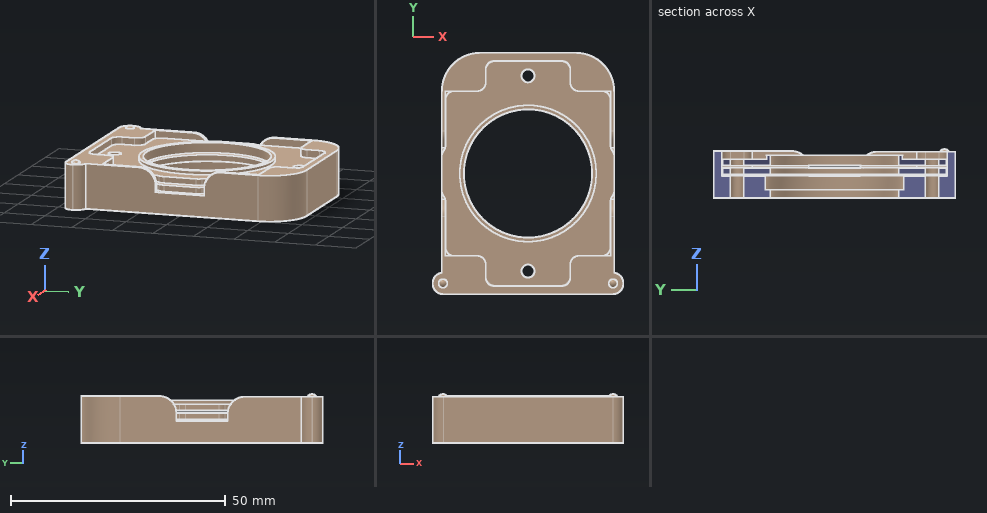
import cadquery as cq
length = 56.45
body_half_width = 20.15
front_height = 10.85
back_height = 11.0
back_corner_radius = 9.0
half_length = length / 2

bar_length = 44.6
bar_depth = 5.1
bar_corner_radius = 2.5
bar_middle_y = bar_depth / 2 - half_length
bump_x = 19.85
bump_base_radius = 1.0
bump_height = 0.6

pocket_half_width = 19.35
pocket_half_length = 19.25
arm_half_width = 9.9
pocket_arm_end = 26.3
corner_radius = 2.0
pocket_floor = 5.2

window_half_width = 6.0
window_flare_radius = 4.0

plate_clearance = 0.1
plate_half_width = pocket_half_width - plate_clearance
plate_thickness = 1.5
lower_plate_bottom = 5.55
plate_gap = 0.5
upper_plate_bottom = lower_plate_bottom + plate_thickness + plate_gap
upper_plate_top = upper_plate_bottom + plate_thickness
tab_tip_half_width = 3.95
tab_bend_half_width = 5.3

bore_diameter = 29.9
collar_diameter = 31.9
collar_height = 0.9
housing_bore_lip = 2.0
housing_counterbore_diameter = 32.4
screw_hole_diameter = 3.0
screw_hole_y = 22.8
screw_hole_points = [(0, screw_hole_y), (0, -screw_hole_y)]


def cross_prism(half_width, half_length_main, arm_half, arm_end, bottom, height, main_corner_radius=0):
    """Rectangle with a rounded arm at its front and back ends."""
    main = cq.Workplane("XY").rect(2 * half_width, 2 * half_length_main).extrude(height)
    if main_corner_radius > 0:
        main = main.edges("|Z").fillet(main_corner_radius)
    arms = cq.Workplane("XY").rect(2 * arm_half, 2 * arm_end).extrude(height)
    arms = arms.edges("|Z").fillet(corner_radius)
    root_edges = cq.selectors.BoxSelector(
        (-arm_half - 0.55, -half_length_main - 0.55, -0.55),
        (arm_half + 0.55, half_length_main + 0.55, height + 0.55),
    )
    cross = main.union(arms).edges("|Z").edges(root_edges).fillet(corner_radius)
    return cross.translate((0, 0, bottom))


def make_housing():
    slab_length = half_length - bar_middle_y
    slab = (
        cq.Workplane("XY")
        .center(0, bar_middle_y + slab_length / 2)
        .rect(2 * body_half_width, slab_length)
        .extrude(back_height)
    )
    slab = slab.edges("|Z and >Y").fillet(back_corner_radius)

    step = (
        cq.Workplane("XY", origin=(0, 0, front_height))
        .center(0, -half_length / 2)
        .rect(2 * body_half_width, half_length)
        .extrude(back_height - front_height)
    )
    bar = cq.Workplane("XY").center(0, bar_middle_y).rect(bar_length, bar_depth).extrude(front_height)
    bar = bar.edges("|Z").fillet(bar_corner_radius)
    housing = slab.cut(step).union(bar)

    for side in (-1, 1):
        housing = housing.union(make_bump().translate((side * bump_x, bar_middle_y, front_height)))

    pocket = cross_prism(
        pocket_half_width, pocket_half_length, arm_half_width, pocket_arm_end,
        pocket_floor, back_height - pocket_floor,
    )
    housing = housing.cut(pocket).cut(make_window_cutter())

    counterbore = (
        cq.Workplane("XY", origin=(0, 0, housing_bore_lip))
        .circle(housing_counterbore_diameter / 2)
        .extrude(back_height)
    )
    return cut_openings(housing.cut(counterbore))


def make_bump():
    """Spherical cap."""
    sphere_radius = (bump_base_radius**2 + bump_height**2) / (2 * bump_height)
    sphere = cq.Workplane("XY").sphere(sphere_radius).translate((0, 0, bump_height - sphere_radius))
    above = cq.Workplane("XY").rect(4 * sphere_radius, 4 * sphere_radius).extrude(2 * sphere_radius)
    return sphere.intersect(above)


def make_window_cutter():
    """Slot across both side walls whose top edges flare outward."""
    flare_end = window_half_width + window_flare_radius
    return (
        cq.Workplane("YZ")
        .moveTo(-window_half_width, pocket_floor)
        .lineTo(window_half_width, pocket_floor)
        .lineTo(window_half_width, back_height - window_flare_radius)
        .tangentArcPoint((flare_end, back_height), relative=False)
        .lineTo(-flare_end, back_height)
        .lineTo(-flare_end, front_height)
        .radiusArc((-window_half_width, front_height - window_flare_radius), window_flare_radius)
        .close()
        .extrude(body_half_width, both=True)
    )


def cut_openings(body):
    """Central bore and the two screw holes, right through the body."""
    bore = cq.Workplane("XY").circle(bore_diameter / 2).extrude(back_height)
    holes = cq.Workplane("XY").pushPoints(screw_hole_points).circle(screw_hole_diameter / 2).extrude(back_height)
    return body.cut(bore).cut(holes)


def make_plate(bottom):
    """Cross-shaped plate with a tab on each long side that reaches into the window."""
    plate = cross_prism(
        plate_half_width, pocket_half_length, arm_half_width, pocket_arm_end - plate_clearance,
        bottom, plate_thickness, corner_radius,
    )
    half_tab = make_half_tab(bottom)
    tab = half_tab.union(half_tab.mirror("XZ"))
    return plate.union(tab).union(tab.mirror("YZ"))


def make_half_tab(bottom):
    """+Y half of the +X tab, blended into the plate edge by an S-curve."""
    root_half_width = 2 * tab_bend_half_width - tab_tip_half_width
    bend_x = (plate_half_width + body_half_width) / 2
    inner_x = collar_diameter / 2
    return (
        cq.Workplane("XY", origin=(0, 0, bottom))
        .moveTo(inner_x, 0)
        .lineTo(body_half_width, 0)
        .lineTo(body_half_width, tab_tip_half_width)
        .tangentArcPoint((bend_x, tab_bend_half_width), relative=False)
        .tangentArcPoint((plate_half_width, root_half_width), relative=False)
        .lineTo(inner_x, root_half_width)
        .close()
        .extrude(plate_thickness)
    )


def make_lower_plate():
    return cut_openings(make_plate(lower_plate_bottom))


def make_upper_plate():
    """Plate with a raised collar around its bore."""
    collar = (
        cq.Workplane("XY", origin=(0, 0, upper_plate_top))
        .circle(collar_diameter / 2)
        .extrude(collar_height)
    )
    return cut_openings(make_plate(upper_plate_bottom).union(collar))


housing = make_housing()
lower_plate = make_lower_plate()
upper_plate = make_upper_plate()

bodies = [housing, lower_plate, upper_plate]
result = cq.Compound.makeCompound([body.solids().val() for body in bodies])